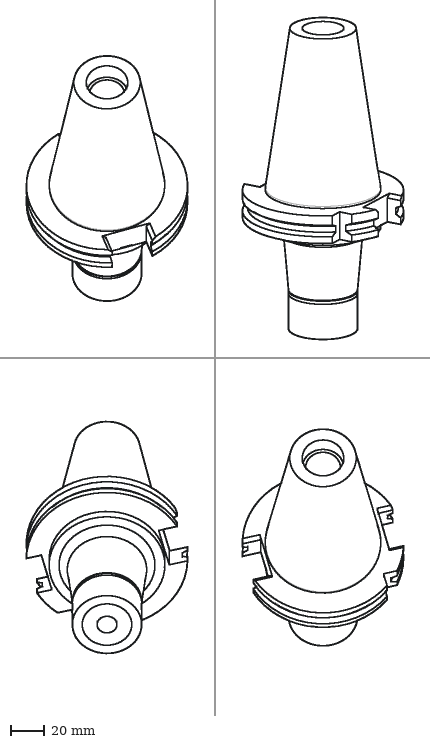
import cadquery as cq
import math


gauge_radius = 69.85 / 2
taper_length = 101.75
taper_ratio = 7 / 24
taper_tip_radius = gauge_radius - taper_length * taper_ratio / 2

flange_radius = 97.5 / 2
flange_top_z = -1.5
flange_bottom_z = -19.1

groove_center_z = -11.1
groove_root_radius = 91.25 / 2
groove_root_width = 3.75
groove_flank_angle = 30
groove_flank_rise = (flange_radius - groove_root_radius) * math.tan(math.radians(groove_flank_angle))
groove_mouth_width = groove_root_width + 2 * groove_flank_rise

slot_width = 25.7
slot_chamfer = 2.3
left_slot_floor = 37.7
right_slot_floor = 35.5

notch_offset = 30.0

collar_radius = 35.0
collar_bottom_z = -25.0
shoulder_top_radius = 29.0
shoulder_drop = 5.0
shank_top_radius = shoulder_top_radius - shoulder_drop
shank_top_z = collar_bottom_z - shoulder_drop
shank_bottom_z = -65.0

neck_radius = 15.0
nose_z = -90.0
nose_radius = 21.0
ring_gap = 0.5
ring_thickness = 2.0
ring_top_z = shank_bottom_z - ring_gap
ring_bottom_z = ring_top_z - ring_thickness

counterbore_radius = 12.5
counterbore_depth = 11.5
stud_bore_radius = 10.5
stud_bore_depth = 60.0
through_radius = 6.0
through_chamfer = 0.5


def turned_blank():
    """Outside of the holder, with the flange groove, as one revolved outline."""
    groove_root_top = groove_center_z + groove_root_width / 2
    groove_root_bottom = groove_center_z - groove_root_width / 2
    groove_mouth_top = groove_center_z + groove_mouth_width / 2
    groove_mouth_bottom = groove_center_z - groove_mouth_width / 2
    outline = [
        (0, taper_length),
        (taper_tip_radius, taper_length),
        (gauge_radius, 0),
        (gauge_radius, flange_top_z),
        (flange_radius, flange_top_z),
        (flange_radius, groove_mouth_top),
        (groove_root_radius, groove_root_top),
        (groove_root_radius, groove_root_bottom),
        (flange_radius, groove_mouth_bottom),
        (flange_radius, flange_bottom_z),
        (collar_radius, flange_bottom_z),
        (collar_radius, collar_bottom_z),
        (shoulder_top_radius, collar_bottom_z),
        (shank_top_radius, shank_top_z),
        (nose_radius, shank_bottom_z),
        (neck_radius, shank_bottom_z),
        (neck_radius, nose_z),
        (0, nose_z),
    ]
    return cq.Workplane("XZ").polyline(outline).close().revolve(360, (0, 0), (0, 1))


def drive_slot(floor_distance, side):
    """Cutter for one drive slot; side is -1 for -X and +1 for +X. The top edges are chamfered."""
    half_width = slot_width / 2
    section = [
        (-half_width, flange_bottom_z),
        (half_width, flange_bottom_z),
        (half_width, flange_top_z - slot_chamfer),
        (half_width + slot_chamfer, flange_top_z),
        (-half_width - slot_chamfer, flange_top_z),
        (-half_width, flange_top_z - slot_chamfer),
    ]
    return (
        cq.Workplane("YZ", origin=(side * floor_distance, 0, 0))
        .polyline(section)
        .close()
        .extrude(side * (flange_radius - floor_distance))
    )


def orientation_notch():
    """Cutter for the square notch through the flange in the -X, +Y quarter."""
    size = flange_radius - notch_offset
    return (
        cq.Workplane("XY", origin=(-notch_offset, notch_offset, flange_bottom_z))
        .rect(-size, size, centered=False)
        .extrude(flange_top_z - flange_bottom_z)
    )


def stepped_bore():
    """Cutter for the counterbore, the pull-stud bore and the chamfered through hole."""
    counterbore_z = taper_length - counterbore_depth
    stud_bore_z = taper_length - stud_bore_depth
    outline = [
        (0, taper_length),
        (counterbore_radius, taper_length),
        (counterbore_radius, counterbore_z),
        (stud_bore_radius, counterbore_z),
        (stud_bore_radius, stud_bore_z),
        (through_radius + through_chamfer, stud_bore_z),
        (through_radius, stud_bore_z - through_chamfer),
        (through_radius, nose_z),
        (0, nose_z),
    ]
    return cq.Workplane("XZ").polyline(outline).close().revolve(360, (0, 0), (0, 1))


def collar_on_neck(top_z, bottom_z):
    """Annular body that fits round the neck between two heights."""
    return (
        cq.Workplane("XY", origin=(0, 0, bottom_z))
        .circle(nose_radius)
        .circle(neck_radius)
        .extrude(top_z - bottom_z)
    )


holder = (
    turned_blank()
    .cut(drive_slot(left_slot_floor, -1))
    .cut(drive_slot(right_slot_floor, 1))
    .cut(orientation_notch())
    .cut(stepped_bore())
)
ring = collar_on_neck(ring_top_z, ring_bottom_z)
sleeve = collar_on_neck(ring_bottom_z, nose_z)

result = cq.Compound.makeCompound([holder.val(), ring.val(), sleeve.val()])